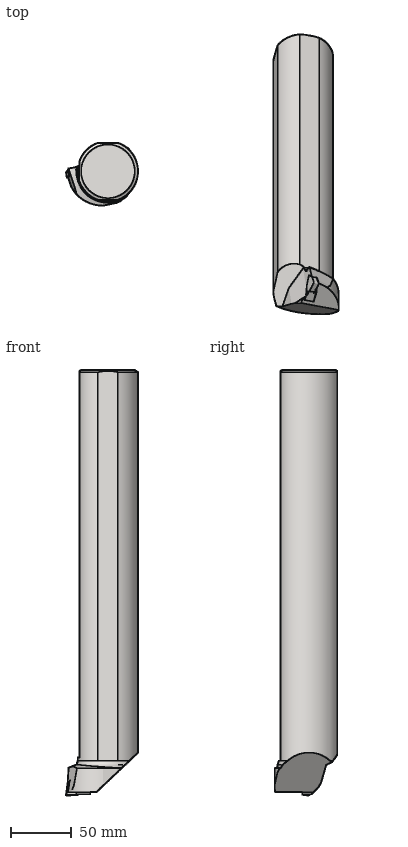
import cadquery as cq
import math

top_z = 351.5
shank_radius = 25.0
flat_distance = 23.5
side_flat_end_z = 31.5
top_chamfer_width = 2.8
top_chamfer_height = 1.8

collar_top_z = 28.8
collar_foot_z = 25.5
collar_foot_radius = 26.0

head_bottom_z = 2.8
head_rim_z = 22.5
head_radius = 29.5
head_x = -4.2
head_y = 1.0
shoulder_inner_radius = 22.0
facet_x = -4.0
facet_y = -28.5
facet_angle = 12.0

relief_start_z = 35.5
relief_slope = 0.95

ridge_x = -33.7
ridge_y = 1.0
ridge_z = 8.5
side_turn = 18.0
side_lean = 6.0
nose_lean = 11.0

insert_edge = 8.8
insert_angle = 80.0
insert_thickness = 4.5
corner_radius = 0.7
tip_x = -34.8
tip_y = -1.0
tip_z = 0.0
lead_angle = 2.0
radial_tilt = 8.5
axial_tilt = 7.5

lip_bottom_z = 1.0
lip_back_y = -5.5
lip_front_y = 13.0
lip_start_x = -26.0
lip_end_x = -14.5

ramp_start = 14.0
ramp_end = 35.0
ramp_height = 4.5
roof_x = -8.5
roof_y = 23.5
roof_z = 40.8
roof_slope_x = -0.4
roof_slope_y = 0.7
heel_y = 1.0

reach = 140.5


def half_space(point, normal):
    """Large block on the side of a plane to which its normal points."""
    plane = cq.Plane(origin=point, normal=normal)
    return cq.Workplane(plane).rect(2 * reach, 2 * reach).extrude(reach)


def turned(points):
    """Solid turned about the Z axis from (radius, Z) points."""
    return cq.Workplane("XZ").polyline(points).close().revolve(360, (0, 0, 0), (0, 1, 0))


def flat_cutter(direction, bottom_z):
    """Block that cuts a flat facing the given direction, in degrees from +X."""
    size = 2 * shank_radius
    block = cq.Workplane("XY").box(size, size, top_z, centered=(False, True, False))
    return block.translate((flat_distance, 0, bottom_z)).rotate((0, 0, 0), (0, 0, 1), direction)


def make_shank():
    shank = turned([
        (0, head_bottom_z),
        (shank_radius, head_bottom_z),
        (shank_radius, top_z - top_chamfer_height),
        (shank_radius - top_chamfer_width, top_z),
        (0, top_z),
    ])
    for direction, bottom_z in ((90, collar_top_z), (180, side_flat_end_z), (270, collar_top_z)):
        shank = shank.cut(flat_cutter(direction, bottom_z))
    return shank


def make_collar():
    return turned([
        (0, head_bottom_z),
        (collar_foot_radius, head_bottom_z),
        (collar_foot_radius, collar_foot_z),
        (shank_radius, collar_top_z),
        (0, collar_top_z),
    ])


def side_cutter(lean):
    """Block outside a face that passes through the ridge and leans back by an angle."""
    turn = math.radians(side_turn)
    normal = (-math.cos(turn), -math.sin(turn), math.tan(math.radians(lean)))
    return half_space((ridge_x, ridge_y, ridge_z), normal)


def make_head():
    head = turned([
        (0, head_bottom_z),
        (head_radius, head_bottom_z),
        (head_radius, head_rim_z),
        (shoulder_inner_radius, collar_foot_z),
        (0, collar_foot_z),
    ]).translate((head_x, head_y, 0))
    facet = math.radians(facet_angle)
    head = head.cut(half_space((facet_x, facet_y, 0), (math.sin(facet), -math.cos(facet), 0)))
    above_ridge = half_space((0, 0, ridge_z), (0, 0, 1))
    below_ridge = half_space((0, 0, ridge_z), (0, 0, -1))
    head = head.cut(side_cutter(side_lean).intersect(above_ridge))
    return head.cut(side_cutter(nose_lean).intersect(below_ridge))


def rake_plane():
    """Plane of the insert's top face: X along its end edge, normal into the head."""
    plane = cq.Plane.XZ(origin=(tip_x, tip_y, tip_z))
    return plane.rotated((-axial_tilt, 0, 0)).rotated((0, radial_tilt, 0)).rotated((0, 0, lead_angle))


def make_insert():
    """Trigon plate: sharp corners alternate with blunt ones, and its first sharp corner is the tip."""
    corner_count = 3
    step = 360.0 / corner_count
    blunt_turn = step - (180.0 - insert_angle)
    plate = cq.Workplane(rake_plane()).moveTo(0, 0)
    for corner in range(corner_count):
        plate = plate.polarLine(insert_edge, step * corner)
        plate = plate.polarLine(insert_edge, step * corner + blunt_turn)
    plate = plate.close().extrude(insert_thickness)
    corner_edges = cq.selectors.ParallelDirSelector(rake_plane().zDir)
    return plate.edges(corner_edges).fillet(corner_radius)


def make_lip():
    """Low block that reaches up into the head and out toward +Y into the chip pocket."""
    length = lip_end_x - lip_start_x
    depth = lip_front_y - lip_back_y
    height = ridge_z - lip_bottom_z
    lip = cq.Workplane("XY").box(length, depth, height, centered=False)
    return lip.translate((lip_start_x, lip_back_y, lip_bottom_z))


def make_chip_pocket():
    """Space over the ramped floor and the heel, up to the slanted roof."""
    rake = rake_plane()
    across = cq.Plane(origin=rake.origin, xDir=rake.xDir, normal=rake.yDir)
    pocket = (
        cq.Workplane(across)
        .polyline([
            (-reach, 0),
            (ramp_start, 0),
            (ramp_end, ramp_height),
            (reach, ramp_height),
            (reach, reach),
            (-reach, reach),
        ])
        .close()
        .extrude(reach, both=True)
    )
    heel = half_space((0, heel_y, 0), (0, 1, -1))
    roof = half_space((roof_x, roof_y, roof_z), (-roof_slope_x, -roof_slope_y, 1))
    return pocket.union(heel).cut(roof)


def make_holder(insert):
    holder = make_shank().union(make_collar()).union(make_head()).union(make_lip())
    holder = holder.cut(half_space((shank_radius, 0, relief_start_z), (relief_slope, 0, -1)))
    holder = holder.cut(make_chip_pocket())
    return holder.cut(insert)


insert = make_insert()
holder = make_holder(insert)

result = cq.Compound.makeCompound([holder.val(), insert.val()])